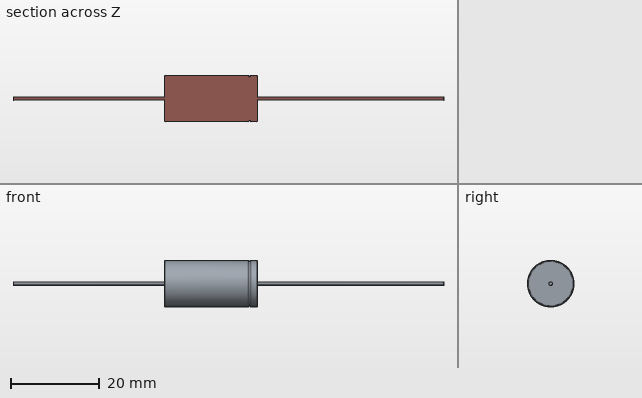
import cadquery as cq
import math

body_diameter = 10.5
body_length = 21.0
rim_radius = 0.25

lead_diameter = 0.8
short_lead_length = 34.0
long_lead_length = 42.0

groove_width = 0.7
groove_depth = 0.25
groove_end_distance = 1.8

body_radius = body_diameter / 2
body_end = body_length / 2


def add_groove(profile):
    """Draw a crimp groove in -X direction: rounded lip, round floor, rounded lip, all tangent."""
    middle = body_end - groove_end_distance
    half_width = groove_width / 2
    quarter_width = groove_width / 4
    half_depth = groove_depth / 2
    bend_radius = (quarter_width**2 + half_depth**2) / (2 * half_depth)
    half_bend = math.asin(quarter_width / bend_radius) / 2
    lip_reach = half_width - bend_radius * math.sin(half_bend)
    lip_radius = body_radius - bend_radius * (1 - math.cos(half_bend))
    side_radius = body_radius - half_depth
    return (
        profile.lineTo(middle + half_width, body_radius)
        .threePointArc((middle + lip_reach, lip_radius), (middle + quarter_width, side_radius))
        .threePointArc((middle, body_radius - groove_depth), (middle - quarter_width, side_radius))
        .threePointArc((middle - lip_reach, lip_radius), (middle - half_width, body_radius))
    )


def make_body():
    """Round can with the crimp groove near its +X end and both rims rounded."""
    profile = cq.Workplane("XY").moveTo(-body_end, 0).lineTo(body_end, 0).lineTo(body_end, body_radius)
    profile = add_groove(profile).lineTo(-body_end, body_radius).close()
    can = profile.revolve(360, (0, 0, 0), (1, 0, 0))
    return can.faces("<X or >X").edges().fillet(rim_radius)


def make_leads():
    """One straight wire running through the can and out of both ends."""
    wire_start = -body_end - short_lead_length
    wire_length = short_lead_length + body_length + long_lead_length
    return cq.Workplane("YZ").workplane(offset=wire_start).circle(lead_diameter / 2).extrude(wire_length)


result = make_body().union(make_leads())